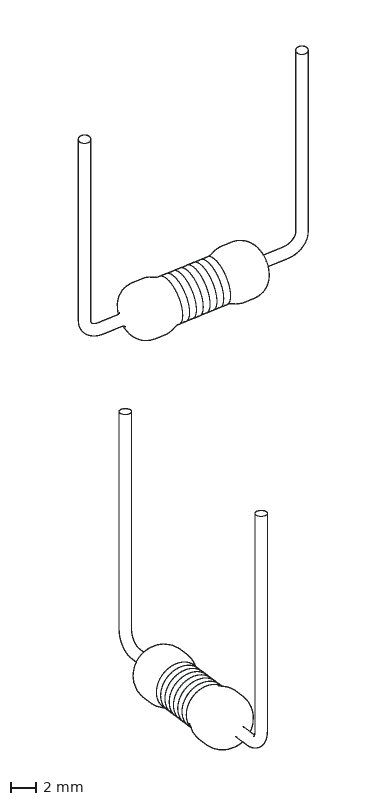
import cadquery as cq
import math


lead_diameter = 1.0
lead_span = 20.0
lead_height = 21.0
bend_radius = 1.5

cap_diameter = 4.8
waist_diameter = 4.08
band_diameter = 4.1
band_count = 4
waist_half_length = 2.2
cap_inner_y = 3.6
cap_outer_y = 4.6
dome_radius = 1.7
flare_radius = 0.5

lead_radius = lead_diameter / 2
cap_radius = cap_diameter / 2
waist_radius = waist_diameter / 2
lead_y = lead_span / 2
band_width = 2 * waist_half_length / (2 * band_count - 1)

dome_centre_r = cap_radius - dome_radius
flare_centre_r = lead_radius + flare_radius
flare_rise = flare_centre_r - dome_centre_r
centre_distance = dome_radius + flare_radius
flare_y = cap_outer_y + math.sqrt(centre_distance**2 - flare_rise**2)
dome_share = dome_radius / centre_distance
dome_end_r = dome_centre_r + flare_rise * dome_share
dome_end_y = cap_outer_y + (flare_y - cap_outer_y) * dome_share

shoulder_mid_r = (waist_radius + cap_radius) / 2
shoulder_mid_y = (waist_half_length + cap_inner_y) / 2
shoulder_arc_reach = shoulder_mid_y - waist_half_length
shoulder_angle = 2 * math.atan2(shoulder_mid_r - waist_radius, shoulder_arc_reach)
shoulder_radius = shoulder_arc_reach / math.sin(shoulder_angle)
shoulder_bend_r = waist_radius + shoulder_radius * (1 - math.cos(shoulder_angle / 2))
shoulder_bend_y = waist_half_length + shoulder_radius * math.sin(shoulder_angle / 2)


def revolve_about_y(profile):
    return profile.revolve(360, (0, 0, 0), (0, 1, 0))


def make_disc(diameter, start_y, end_y):
    """Solid cylinder about the Y axis."""
    profile = (
        cq.Workplane("XY")
        .moveTo(0, start_y)
        .lineTo(diameter / 2, start_y)
        .lineTo(diameter / 2, end_y)
        .lineTo(0, end_y)
        .close()
    )
    return revolve_about_y(profile)


def make_cap():
    """+Y cap: shoulder, cylinder, dome and flare down to the lead."""
    profile = (
        cq.Workplane("XY")
        .moveTo(waist_radius, waist_half_length)
        .threePointArc((shoulder_bend_r, shoulder_bend_y), (shoulder_mid_r, shoulder_mid_y))
        .tangentArcPoint((cap_radius, cap_inner_y), relative=False)
        .lineTo(cap_radius, cap_outer_y)
        .tangentArcPoint((dome_end_r, dome_end_y), relative=False)
        .tangentArcPoint((lead_radius, flare_y), relative=False)
        .lineTo(0, flare_y)
        .lineTo(0, waist_half_length)
        .close()
    )
    return revolve_about_y(profile)


def make_band(index):
    """Colour band, slightly proud of the waist."""
    start_y = -waist_half_length + 2 * index * band_width
    return make_disc(band_diameter, start_y, start_y + band_width)


def make_lead():
    """+Y lead: straight out of the body, then a quarter bend up to +Z."""
    path = (
        cq.Workplane("YZ")
        .moveTo(flare_y, 0)
        .lineTo(lead_y - bend_radius, 0)
        .tangentArcPoint((lead_y, bend_radius), relative=False)
        .lineTo(lead_y, lead_height)
    )
    section = cq.Workplane("XZ", origin=(0, flare_y, 0)).circle(lead_radius)
    return section.sweep(path)


end_part = make_cap().union(make_lead())
waist = make_disc(waist_diameter, -waist_half_length, waist_half_length)
result = waist.union(end_part).union(end_part.mirror("XZ"))
for band_index in range(band_count):
    result = result.union(make_band(band_index))